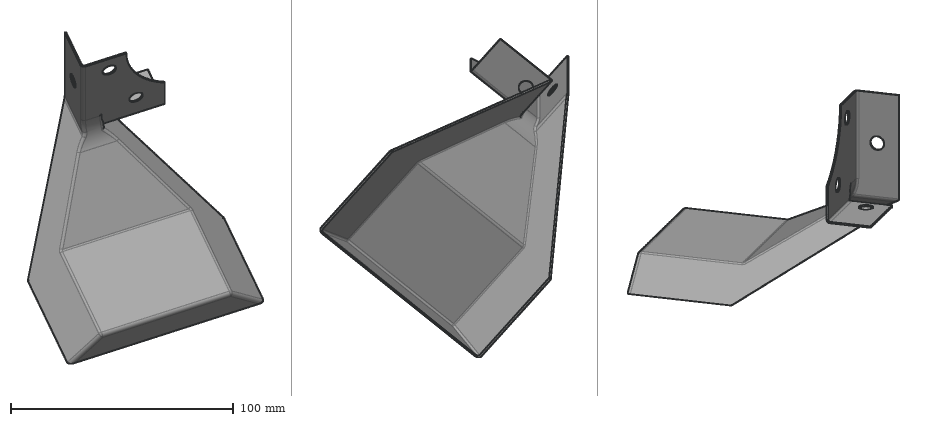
import cadquery as cq
import math

length = 112.0
total_height = 90.0
base_half_width = 47.5
sheet = 0.8
outer_bend = 1.8
inner_bend = outer_bend - sheet
valley_bend = 1.8

wall_x = 21.0
deck_z = 15.0
ramp_foot_x = 61.9
shelf_z = 40.0
neck_radius = 15.0

neck_half_width = 5.3

bracket_y = 35.0
scallop_top_y = 16.5
scallop_side_z = 57.6

hole_diameter = 6.5
hole_x = 10.3
shelf_hole_y = 11.2
flange_hole_z = 66.1
wall_holes = [(8.2, 81.3), (21.0, 53.5)]

ramp_angle = math.atan2(shelf_z - deck_z, ramp_foot_x - wall_x)
flank_rise = shelf_z / (base_half_width - neck_half_width)
flank_angle = math.atan(flank_rise)
neck_top_z = shelf_z + neck_radius * math.tan((math.pi / 2 - ramp_angle) / 2)
overrun = 22.4


def side_prism(inset):
    """Region below the wall, neck, ramp and deck, moved inwards by inset."""
    wall = wall_x - inset
    deck = deck_z - inset
    foot_x = ramp_foot_x - inset * math.tan(ramp_angle / 2)
    corner_z = deck + (foot_x - wall) * math.tan(ramp_angle)
    prism = (
        cq.Workplane("XZ")
        .moveTo(-overrun, -inset)
        .lineTo(length - inset, -inset)
        .lineTo(length - inset, deck)
        .lineTo(foot_x, deck)
        .lineTo(wall, corner_z)
        .lineTo(wall, total_height + inset)
        .lineTo(-overrun, total_height + inset)
        .close()
        .extrude(base_half_width + overrun, both=True)
    )
    prism = prism.edges(cq.NearestToPointSelector((wall, 0, corner_z))).fillet(neck_radius + inset)
    return prism.edges(cq.NearestToPointSelector((foot_x, 0, deck))).fillet(valley_bend + inset)


def flank_y(z, inset):
    """Half width of the sloping flanks at height z."""
    return base_half_width - z / flank_rise - inset / math.sin(flank_angle)


def flank_z(y, inset):
    """Height at which the sloping flanks reach half width y."""
    return (base_half_width - inset / math.sin(flank_angle) - y) * flank_rise


def cross_prism(inset):
    """Region between the flanks and the neck sides, moved inwards by inset."""
    side = neck_half_width - inset
    side_z = flank_z(side, inset)
    foot = flank_y(-inset, inset)
    prism = (
        cq.Workplane("YZ")
        .polyline(
            [
                (-foot, -inset),
                (-side, side_z),
                (-side, total_height + inset),
                (side, total_height + inset),
                (side, side_z),
                (foot, -inset),
            ]
        )
        .close()
        .extrude(length + overrun, both=True)
    )
    return prism.edges(cq.NearestToPointSelector((0, -side, side_z))).fillet(valley_bend + inset)


def skid_block(inset, bend):
    """Solid skid with its bends rounded along the deck, ramp, neck, wall and end."""
    block = side_prism(inset).intersect(cross_prism(inset))
    end_edge = block.edges(cq.NearestToPointSelector((length - inset, 0, deck_z - inset)))
    folds = block.edges("not |Y").filter(lambda edge: edge.BoundingBox().xmin > 0)
    return folds.add(end_edge).fillet(bend)


def prism_along_y(points, y_min, y_max):
    """Outline in X and Z extruded between two Y positions."""
    return cq.Workplane("XZ", origin=(0, y_max, 0)).polyline(points).close().extrude(y_max - y_min)


def skid():
    """Thin skid shell, open below, at its narrow end and along the +Y side of its neck."""
    shell = skid_block(0, outer_bend).cut(skid_block(sheet, inner_bend))

    edge_slope = shelf_z / ramp_foot_x
    below_flanks = prism_along_y(
        [
            (-2 * overrun, shelf_z + 2 * overrun * edge_slope),
            (ramp_foot_x + overrun, -overrun * edge_slope),
            (-2 * overrun, -overrun * edge_slope),
        ],
        -2 * base_half_width,
        2 * base_half_width,
    )
    beyond_flange = cq.Workplane("YZ").rect(4 * base_half_width, 4 * total_height).extrude(-2 * overrun)

    lap = 3 * sheet
    fold_reach_y = neck_half_width - lap * math.sin(flank_angle)
    fold_reach_z = shelf_z - lap * math.cos(flank_angle)
    opening = (
        cq.Workplane("YZ", origin=(-2 * overrun, 0, 0))
        .moveTo(neck_half_width, shelf_z)
        .lineTo(fold_reach_y, fold_reach_z)
        .lineTo(0, fold_reach_z)
        .lineTo(0, 2 * total_height)
        .lineTo(2 * neck_half_width, 2 * total_height)
        .lineTo(2 * neck_half_width, shelf_z)
        .close()
        .extrude(2 * overrun + wall_x - sheet)
    )
    return shell.cut(below_flanks).cut(beyond_flange).cut(opening)


def shelf_fold():
    """Tight rounded fold around the sharp inner corner of the shelf and the +Y flank."""
    mid_angle = flank_angle / 2
    flank_end = (-sheet * math.sin(flank_angle), -sheet * math.cos(flank_angle))
    nose = (-sheet * math.cos(mid_angle), sheet * math.sin(mid_angle))
    return (
        cq.Workplane("YZ")
        .center(neck_half_width, shelf_z)
        .moveTo(0, 0)
        .lineTo(0, sheet)
        .threePointArc(nose, flank_end)
        .close()
        .extrude(wall_x)
    )


def bracket():
    """Upright wall and horizontal shelf that reach out to +Y."""
    outline = [
        (0, shelf_z),
        (wall_x, shelf_z),
        (wall_x, total_height),
        (wall_x - sheet, total_height),
        (wall_x - sheet, shelf_z + sheet),
        (0, shelf_z + sheet),
    ]
    angle = prism_along_y(outline, neck_half_width - sheet, bracket_y)
    angle = angle.edges(cq.NearestToPointSelector((wall_x, bracket_y / 2, shelf_z))).fillet(outer_bend)
    inner_corner = (wall_x - sheet, bracket_y / 2, shelf_z + sheet)
    angle = angle.edges(cq.NearestToPointSelector(inner_corner)).fillet(inner_bend)

    upper_wall = cq.Workplane("XY", origin=(wall_x - sheet, 0, neck_top_z)).box(
        sheet, bracket_y, total_height - neck_top_z, centered=False
    )

    neck_gap = cq.Workplane("XY").box(wall_x - sheet, neck_half_width, total_height, centered=False)
    return angle.cut(neck_gap).union(upper_wall).union(shelf_fold())


def scallop():
    """Round cut in the upper +Y corner of the wall."""
    drop = total_height - scallop_side_z
    reach = bracket_y - scallop_top_y
    radius = (drop**2 + reach**2) / (2 * reach)
    return (
        cq.Workplane("YZ")
        .center(scallop_top_y + radius, total_height)
        .circle(radius)
        .extrude(wall_x + sheet)
    )


def mounting_holes():
    """Drills for the wall, the shelf and the -Y flange."""
    radius = hole_diameter / 2
    drills = cq.Workplane("YZ").pushPoints(wall_holes).circle(radius).extrude(wall_x + sheet)
    shelf_drill = (
        cq.Workplane("XY", origin=(hole_x, shelf_hole_y, shelf_z - sheet / 2))
        .circle(radius)
        .extrude(2 * sheet)
    )
    flange_drill = (
        cq.Workplane("XZ", origin=(hole_x, 0, flange_hole_z)).circle(radius).extrude(2 * neck_half_width)
    )
    return drills.union(shelf_drill).union(flange_drill)


result = skid().union(bracket()).cut(scallop()).cut(mounting_holes())